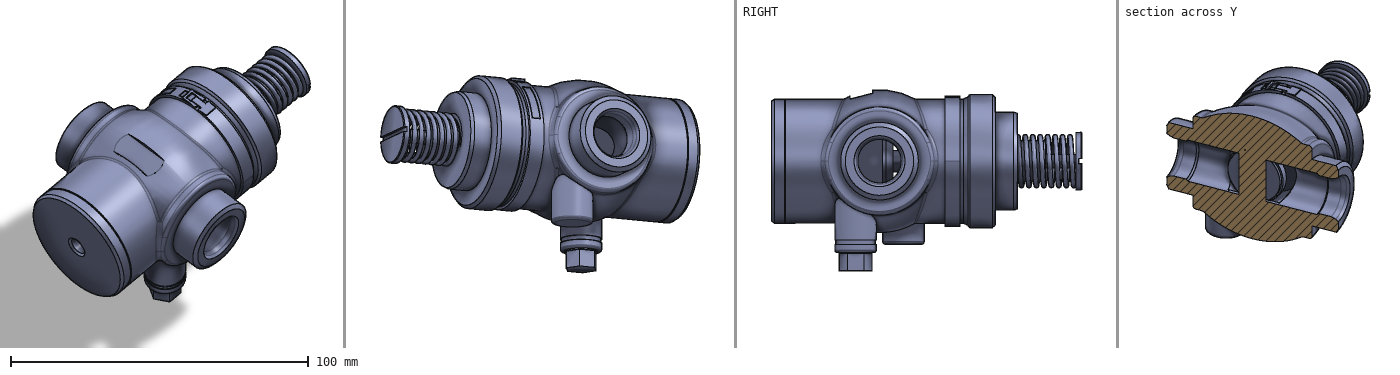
import cadquery as cq
import math


OVERLAP = 1.0

BODY_R = 20.9
FRONT_Y = -36.3
FRONT_CHAMFER_AXIAL = 1.0
FRONT_CHAMFER_RADIAL = 0.7
SEAM_Y = -31.8
SEAM_WIDTH = 0.3
SEAM_DEPTH = 0.2

NUT_R = 22.5
NUT_FRONT_Y = 30.4
NUT_BACK_Y = 39.0
NUT_CHAMFER = 1.0
NECK_TOP_R = 21.6
NECK_TOP_Y = 29.7
NECK_FOOT_Y = 28.2
GLAND_R = 16.5
GLAND_BACK_Y = 46.4
GLAND_CHAMFER_AXIAL = 1.3
GLAND_CHAMFER_RADIAL = 0.4

STRAP_R = 21.9
STRAP_FRONT_Y = 21.9
STRAP_BACK_Y = 27.1
STRAP_Y = (STRAP_FRONT_Y + STRAP_BACK_Y) / 2
WINDOW_WIDTH = 2.9
WINDOW_DEPTH = 0.3
WINDOW_LOW_ANGLE = 14.0
WINDOW_HIGH_ANGLE = 53.5
END_WINDOW_X = (-8.7, -7.0)
BUCKLE_X = (-6.5, 4.7)
BUCKLE_TOP_Z = 21.8
BUCKLE_ROOT = 3.1
BUCKLE_WIDTH = 4.8
BUCKLE_NOTCH_X = (-0.4, 1.0)
BUCKLE_POCKET_X = (-5.5, -3.4)
BUCKLE_CUT_DEPTH = 0.8
BUCKLE_POCKET_SHALLOW_DEPTH = 0.3
TONGUE_WIDTH = 2.3
TONGUE_GAP = 0.2

BELLY_R = 24.0
COLLAR_R = 18.2
COLLAR_INNER_X = 18.8
COLLAR_FACE_X = 22.6
COLLAR_ROUND = 1.3
BLEND_R = 1.6
CASTING_END_Y = BODY_R + 3 * BLEND_R
PORT_END_X = 32.5
PORT_R = 13.1
PORT_CHAMFER_AXIAL = 0.8
PORT_CHAMFER_RADIAL = 1.6
BORE_MOUTH_R = 8.6
BORE_MOUTH_DEPTH = 1.0
BORE_LEAD_R = 7.8
BORE_LEAD_DEPTH = 2.7
BORE_R = 7.3
BORE_LIP_DEPTH = 7.5
PASSAGE_R = 7.9
WEB_TOP_X = 4.2
WEB_SLOPE_ANGLE = 45.0

CHAMBER_R = 12.5
CHAMBER_FRONT_Y = 1.0
CHAMBER_BACK_Y = 14.6
STEM_R = 3.7
DISC_R = 10.4
DISC_FRONT_Y = 2.2
DISC_BACK_Y = 4.6
SEAL_R = 9.8

PAD_FRONT_Y = -9.9
PAD_FRONT_Z = 20.9
PAD_BACK_Y = -2.3
PAD_BACK_Z = 22.9
PAD_CUT_TOP_Z = 26.1
PAD_CUT_LENGTH = 31.3

GAUGE_R = 3.0
GAUGE_MOUTH_R = 3.8
GAUGE_DEPTH = 6.3
DRILL_POINT_ANGLE = 118.0

BOSS_R = 7.0
BOSS_X = 14.1
BOSS_Y = 8.0
PLAIN_BOSS_Z = -28.0
PLAIN_BOSS_ROUND = 1.0
PLUG_BOSS_Z = -30.7
PLUG_BOSS_ROUND = 0.8
PLUG_GROOVE_TOP_Z = -26.5
PLUG_GROOVE_BOTTOM_Z = -28.0
PLUG_GROOVE_DEPTH = 0.3
WASHER_R = 5.5
WASHER_Z = -31.1
HEX_ACROSS_FLATS = 9.6
HEX_END_Z = -36.9

CAP_R = 9.7
CAP_FRONT_Y = 66.0
CAP_BACK_Y = 68.1
CAP_CHAMFER = 0.3
SLOT_WIDTH = 1.7
SLOT_DEPTH = 1.0
SPINDLE_R = 2.3
SLEEVE_R = 6.9
SLEEVE_BACK_Y = 55.8
SPRING_OUTER_R = 9.0
WIRE_R = 0.78
SPRING_PITCH = 2.5
SPRING_BACK_Y = 65.9
SPRING_FRONT_Y = 45.3


def cylinder_y(radius, y_start, y_end):
    """Cylinder on the main axis."""
    return cq.Workplane("XZ", origin=(0, y_start, 0)).circle(radius).extrude(y_start - y_end)


def cylinder_x(radius, x_start, x_end):
    """Cylinder on the port axis."""
    return cq.Workplane("YZ", origin=(x_start, 0, 0)).circle(radius).extrude(x_end - x_start)


def box_between(x_range, y_range, z_range):
    """Axis-aligned box given by its limits."""
    sizes = [high - low for low, high in (x_range, y_range, z_range)]
    corner = (x_range[0], y_range[0], z_range[0])
    return cq.Workplane("XY").box(*sizes, centered=False).translate(corner)


def both_ends(shape):
    """The shape together with its mirror image across the YZ plane."""
    return shape.union(shape.mirror("YZ"))


def make_belly():
    """Barrel turned about the port axis between the two collars."""
    return (
        cq.Workplane("XY")
        .moveTo(-COLLAR_INNER_X, 0)
        .lineTo(-COLLAR_INNER_X, COLLAR_R)
        .threePointArc((0, BELLY_R), (COLLAR_INNER_X, COLLAR_R))
        .lineTo(COLLAR_INNER_X, 0)
        .close()
        .revolve(360, (0, 0, 0), (1, 0, 0))
    )


def make_casting():
    """Main cylinder, belly and collars with rounded junctions."""
    main = cylinder_y(BODY_R, -CASTING_END_Y, CASTING_END_Y)
    collars = cylinder_x(COLLAR_R, -COLLAR_FACE_X, COLLAR_FACE_X)
    casting = main.union(make_belly()).union(collars)
    end_faces = casting.faces("<Y or >Y or <X or >X").edges().vals()
    junctions = [
        edge for edge in casting.edges().vals()
        if edge.geomType() != "LINE" and not any(edge.isSame(e) for e in end_faces)
    ]
    casting = casting.newObject(junctions).fillet(BLEND_R)
    return casting.faces("<X or >X").edges().fillet(COLLAR_ROUND)


def make_turned_ends():
    """Front cylinder, neck, nut and gland turned about the main axis."""
    outline = [
        (0, FRONT_Y),
        (BODY_R - FRONT_CHAMFER_RADIAL, FRONT_Y),
        (BODY_R, FRONT_Y + FRONT_CHAMFER_AXIAL),
        (BODY_R, SEAM_Y - SEAM_WIDTH / 2),
        (BODY_R - SEAM_DEPTH, SEAM_Y - SEAM_WIDTH / 2),
        (BODY_R - SEAM_DEPTH, SEAM_Y + SEAM_WIDTH / 2),
        (BODY_R, SEAM_Y + SEAM_WIDTH / 2),
        (BODY_R, STRAP_FRONT_Y),
        (STRAP_R, STRAP_FRONT_Y),
        (STRAP_R, STRAP_BACK_Y),
        (BODY_R, STRAP_BACK_Y),
        (BODY_R, NECK_FOOT_Y),
        (NECK_TOP_R, NECK_TOP_Y),
        (NUT_R, NUT_FRONT_Y),
        (NUT_R, NUT_BACK_Y - NUT_CHAMFER),
        (NUT_R - NUT_CHAMFER, NUT_BACK_Y),
        (GLAND_R, NUT_BACK_Y),
        (GLAND_R, GLAND_BACK_Y - GLAND_CHAMFER_AXIAL),
        (GLAND_R - GLAND_CHAMFER_RADIAL, GLAND_BACK_Y),
        (0, GLAND_BACK_Y),
    ]
    return cq.Workplane("XY").polyline(outline).close().revolve(360, (0, 0, 0), (0, 1, 0))


def add_strap_details(body):
    """Recessed windows in the strap and the flat buckle on top."""
    half_window = WINDOW_WIDTH / 2
    window_y = (STRAP_Y - half_window, STRAP_Y + half_window)
    ring = cylinder_y(STRAP_R + OVERLAP, *window_y).cut(cylinder_y(STRAP_R - WINDOW_DEPTH, *window_y))

    reach = 2 * STRAP_R
    rays = [
        (-reach * math.cos(math.radians(angle)), reach * math.sin(math.radians(angle)))
        for angle in (WINDOW_LOW_ANGLE, WINDOW_HIGH_ANGLE)
    ]
    sector = (
        cq.Workplane("XZ", origin=(0, STRAP_Y, 0))
        .polyline([(0, 0)] + rays)
        .close()
        .extrude(half_window, both=True)
    )
    end_window = box_between(END_WINDOW_X, window_y, (0, reach))
    body = body.cut(ring.intersect(sector)).cut(ring.intersect(end_window))

    half_buckle = BUCKLE_WIDTH / 2
    buckle_z = (BODY_R - BUCKLE_ROOT, BUCKLE_TOP_Z)
    above = (BUCKLE_TOP_Z, STRAP_R + OVERLAP)
    strap_y = (STRAP_FRONT_Y, STRAP_BACK_Y)
    buckle_y = (STRAP_Y - half_buckle, STRAP_Y + half_buckle)
    body = body.cut(box_between(BUCKLE_X, strap_y, above))
    body = body.union(box_between(BUCKLE_X, buckle_y, buckle_z))

    pocket_outline = [
        (BUCKLE_POCKET_X[0], STRAP_R),
        (BUCKLE_POCKET_X[0], BUCKLE_TOP_Z - BUCKLE_CUT_DEPTH),
        (BUCKLE_POCKET_X[1], BUCKLE_TOP_Z - BUCKLE_POCKET_SHALLOW_DEPTH),
        (BUCKLE_POCKET_X[1], STRAP_R),
    ]
    pocket = (
        cq.Workplane("XZ", origin=(0, STRAP_Y, 0))
        .polyline(pocket_outline)
        .close()
        .extrude(half_window, both=True)
    )
    body = body.cut(pocket)

    cut_z = (BUCKLE_TOP_Z - BUCKLE_CUT_DEPTH, STRAP_R)
    gap_x = (BUCKLE_POCKET_X[1], BUCKLE_NOTCH_X[0])
    for side in (-1, 1):
        edge_y = STRAP_Y + side * (STRAP_BACK_Y - STRAP_FRONT_Y) / 2
        tongue_y = STRAP_Y + side * TONGUE_WIDTH / 2
        gap_y = tongue_y + side * TONGUE_GAP
        body = body.cut(box_between(BUCKLE_NOTCH_X, sorted((tongue_y, edge_y)), cut_z))
        body = body.cut(box_between(gap_x, sorted((tongue_y, gap_y)), cut_z))
    return body


def make_port():
    """Chamfered port stub on the +X side."""
    outline = [
        (0, 0),
        (0, PORT_R),
        (PORT_END_X - PORT_CHAMFER_AXIAL, PORT_R),
        (PORT_END_X, PORT_R - PORT_CHAMFER_RADIAL),
        (PORT_END_X, 0),
    ]
    return cq.Workplane("XY").polyline(outline).close().revolve(360, (0, 0, 0), (1, 0, 0))


def make_port_bore():
    """Bore on the +X side with a tapered mouth, ending on a sloped web below the valve seat."""
    outline = [
        (0, 0),
        (0, PASSAGE_R),
        (PORT_END_X - BORE_LIP_DEPTH - (PASSAGE_R - BORE_R), PASSAGE_R),
        (PORT_END_X - BORE_LIP_DEPTH, BORE_R),
        (PORT_END_X - BORE_LEAD_DEPTH, BORE_R),
        (PORT_END_X - BORE_MOUTH_DEPTH, BORE_LEAD_R),
        (PORT_END_X, BORE_MOUTH_R),
        (PORT_END_X, 0),
    ]
    bore = cq.Workplane("XY").polyline(outline).close().revolve(360, (0, 0, 0), (1, 0, 0))

    web_height = CHAMBER_FRONT_Y + PASSAGE_R
    web_foot_x = WEB_TOP_X + web_height / math.tan(math.radians(WEB_SLOPE_ANGLE))
    web_outline = [
        (0, CHAMBER_FRONT_Y),
        (WEB_TOP_X, CHAMBER_FRONT_Y),
        (web_foot_x, -PASSAGE_R),
        (0, -PASSAGE_R),
    ]
    web = cq.Workplane("XY").polyline(web_outline).close().extrude(PASSAGE_R, both=True)
    return bore.cut(web)


def make_pad_cut():
    """Prism with a sloped underside that mills the flat pad into the belly."""
    outline = [
        (PAD_FRONT_Y, PAD_FRONT_Z),
        (PAD_BACK_Y, PAD_BACK_Z),
        (PAD_BACK_Y, PAD_CUT_TOP_Z),
        (PAD_FRONT_Y, PAD_CUT_TOP_Z),
    ]
    return cq.Workplane("YZ").polyline(outline).close().extrude(PAD_CUT_LENGTH / 2, both=True)


def make_gauge_hole():
    """Countersunk drilled hole in the front face."""
    mouth = GAUGE_MOUTH_R - GAUGE_R
    point = GAUGE_R / math.tan(math.radians(DRILL_POINT_ANGLE / 2))
    outline = [
        (0, FRONT_Y),
        (GAUGE_MOUTH_R, FRONT_Y),
        (GAUGE_R, FRONT_Y + mouth),
        (GAUGE_R, FRONT_Y + GAUGE_DEPTH),
        (0, FRONT_Y + GAUGE_DEPTH + point),
    ]
    return cq.Workplane("XY").polyline(outline).close().revolve(360, (0, 0, 0), (0, 1, 0))


def make_plain_boss():
    """Round boss under the -X, +Y quarter."""
    boss = cq.Workplane("XY", origin=(-BOSS_X, BOSS_Y, 0)).circle(BOSS_R).extrude(PLAIN_BOSS_Z)
    return boss.faces("<Z").edges().fillet(PLAIN_BOSS_ROUND)


def make_plug_boss():
    """Round boss under the +X, -Y quarter with a groove, washer and hexagon plug."""
    centre = cq.Workplane("XY", origin=(BOSS_X, -BOSS_Y, 0))
    boss = centre.circle(BOSS_R).extrude(PLUG_BOSS_Z).faces("<Z").edges().fillet(PLUG_BOSS_ROUND)
    groove = (
        centre.workplane(offset=PLUG_GROOVE_BOTTOM_Z)
        .circle(BOSS_R + OVERLAP)
        .circle(BOSS_R - PLUG_GROOVE_DEPTH)
        .extrude(PLUG_GROOVE_TOP_Z - PLUG_GROOVE_BOTTOM_Z)
    )
    washer = centre.circle(WASHER_R).extrude(WASHER_Z)
    across_corners = HEX_ACROSS_FLATS / math.cos(math.radians(30))
    hexagon = centre.polygon(6, across_corners).extrude(HEX_END_Z)
    hexagon = hexagon.rotate((BOSS_X, -BOSS_Y, 0), (BOSS_X, -BOSS_Y, 1), 90)
    return boss.cut(groove).union(washer).union(hexagon)


def make_spindle():
    """Sleeve, spindle and slotted spring cap."""
    sleeve = cylinder_y(SLEEVE_R, NUT_BACK_Y, SLEEVE_BACK_Y)
    spindle = cylinder_y(SPINDLE_R, NUT_BACK_Y, CAP_BACK_Y - SLOT_DEPTH)
    cap = cylinder_y(CAP_R, CAP_FRONT_Y, CAP_BACK_Y).faces(">Y").edges().chamfer(CAP_CHAMFER)
    slot = box_between(
        (-CAP_R, CAP_R), (CAP_BACK_Y - SLOT_DEPTH, CAP_BACK_Y), (-SLOT_WIDTH / 2, SLOT_WIDTH / 2)
    )
    return sleeve.union(spindle).union(cap.cut(slot))


def make_spring():
    """Right-handed coil starting on the -X side under the cap and ending inside the gland."""
    coil_r = SPRING_OUTER_R - WIRE_R
    path = cq.Wire.makeHelix(SPRING_PITCH, SPRING_BACK_Y - SPRING_FRONT_Y, coil_r)
    coil = cq.Workplane("XZ").center(coil_r, 0).circle(WIRE_R).sweep(cq.Workplane(path), isFrenet=True)
    coil = coil.rotate((0, 0, 0), (0, 0, 1), 180)
    coil = coil.rotate((0, 0, 0), (1, 0, 0), 90)
    return coil.translate((0, SPRING_BACK_Y, 0))


body = make_casting().union(make_turned_ends())
body = add_strap_details(body)
body = body.cut(make_pad_cut()).cut(make_gauge_hole())
body = body.union(both_ends(make_port()))
body = body.union(make_plain_boss()).union(make_plug_boss())

chamber = cylinder_y(CHAMBER_R, CHAMBER_FRONT_Y, CHAMBER_BACK_Y)
valve_disc = cylinder_y(DISC_R, DISC_FRONT_Y, DISC_BACK_Y)
valve_seal = cylinder_y(SEAL_R, CHAMBER_FRONT_Y, DISC_FRONT_Y)
valve_stem = cylinder_y(STEM_R, DISC_FRONT_Y, CHAMBER_BACK_Y + OVERLAP)
body = body.cut(both_ends(make_port_bore())).cut(chamber)
body = body.union(valve_seal).union(valve_disc).union(valve_stem)

result = body.union(make_spindle()).union(make_spring())